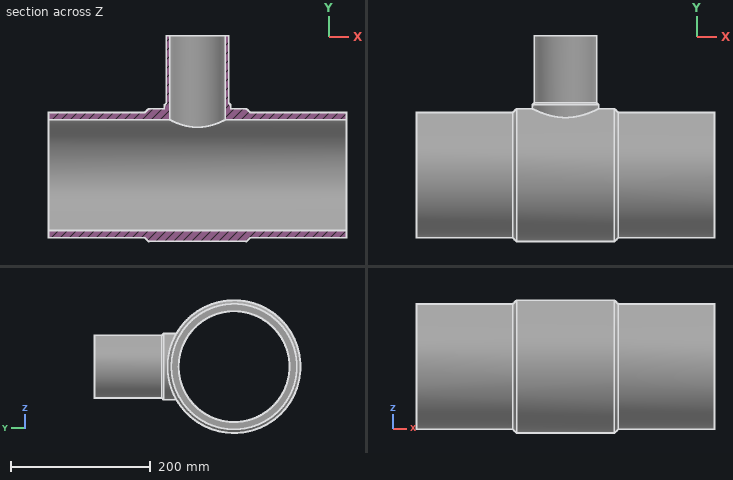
import cadquery as cq

run_length = 427.0
run_diameter = 180.0
run_wall = 10.7
bore_diameter = run_diameter - 2 * run_wall

body_length = 151.0
body_diameter = run_diameter + run_wall
body_chamfer = (body_diameter - run_diameter) / 2

branch_reach = 200.0
branch_diameter = 90.0
branch_wall = 5.4
branch_bore_diameter = branch_diameter - 2 * branch_wall

collar_reach = 103.5
collar_diameter = branch_diameter + branch_wall
collar_chamfer = (collar_diameter - branch_diameter) / 2


def run_cylinder(diameter, length):
    """Cylinder on the X axis, centred on the origin."""
    return cq.Workplane("YZ").circle(diameter / 2).extrude(length / 2, both=True)


def branch_cylinder(diameter, reach):
    """Cylinder from the run axis out along +Y."""
    return cq.Workplane("XZ").circle(diameter / 2).extrude(-reach)


def make_run():
    body = run_cylinder(body_diameter, body_length).edges().chamfer(body_chamfer)
    return run_cylinder(run_diameter, run_length).union(body)


def make_branch():
    collar = branch_cylinder(collar_diameter, collar_reach)
    collar = collar.faces(">Y").edges().chamfer(collar_chamfer)
    return branch_cylinder(branch_diameter, branch_reach).union(collar)


def cut_bores(tee):
    tee = tee.cut(run_cylinder(bore_diameter, run_length))
    return tee.cut(branch_cylinder(branch_bore_diameter, branch_reach))


result = cut_bores(make_run().union(make_branch()))